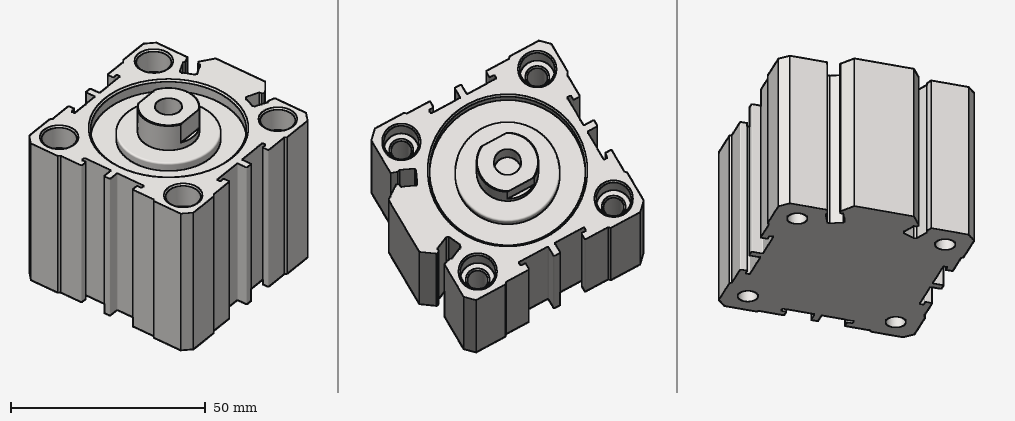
import cadquery as cq

half_width = 26.5
housing_height = 44.5
corner_chamfer = 2.35

relief_depth = 0.5
relief_half_length = 15.5

slot_mouth_half = 8.2
slot_undercut_half = 9.65
slot_floor = 22.95
slot_lip_inner = 24.05
tongue_half = 0.95
slot_rounding = 0.2

rail_top = 30.5
rail_groove_outline = [
    (8.05, rail_top),
    (10.6, 26.9),
    (10.65, 26.6),
    (10.3, 26.0),
    (9.5, 26.0),
    (8.0, 22.5),
    (8.2, 21.9),
    (11.4, 20.45),
    (12.1, 20.6),
    (13.7, 24.05),
    (13.45, 24.75),
    (14.1, half_width),
]

hole_offset = 20.0
hole_radius = 2.6
counterbore_radius = 4.5
counterbore_depth = 7.0
hole_chamfer = 0.45

recess_radius = 20.0
recess_depth = 3.5
recess_chamfer = 0.5
boss_radius = 13.45
boss_drop = 1.0
boss_rounding = 0.5

rod_radius = 8.0
rod_top = 51.5
rod_tip_chamfer = 0.2
flat_half_width = 6.95
flat_start = housing_height + 0.95
rod_hole_radius = 3.5
rod_hole_depth = 2 * rod_hole_radius

recess_floor = housing_height - recess_depth
boss_face = housing_height - boss_drop


def mirrored_x(points):
    """The outline carried on from +X to -X, so the order is reversed."""
    return [(-x, y) for x, y in reversed(points)]


def block():
    """Square extrusion with chamfered corners."""
    side = 2 * half_width
    return (
        cq.Workplane("XY")
        .rect(side, side)
        .extrude(housing_height)
        .edges("|Z")
        .chamfer(corner_chamfer)
    )


def side_recesses():
    """Relief and T-slot of the -Y side, with the tongue left standing in the middle."""
    relief_face = half_width - relief_depth
    relief_inner_half = relief_half_length - relief_depth
    half_outline = [
        (tongue_half, -relief_face),
        (tongue_half, -slot_floor),
        (slot_undercut_half, -slot_floor),
        (slot_undercut_half, -slot_lip_inner),
        (slot_mouth_half, -slot_lip_inner),
        (slot_mouth_half, -relief_face),
        (relief_inner_half, -relief_face),
        (relief_half_length, -half_width),
    ]
    outline = half_outline + mirrored_x(half_outline)
    cutter = cq.Workplane("XY").polyline(outline).close().extrude(housing_height)
    slot_region = cq.selectors.BoxSelector(
        (-slot_undercut_half - slot_rounding, -relief_face - slot_rounding, 0),
        (slot_undercut_half + slot_rounding, -slot_floor + slot_rounding, housing_height),
    )
    return cutter.edges("|Z").edges(slot_region).fillet(slot_rounding)


def rail_stock():
    """Block that stands out from the back, from which the rail is shaped."""
    back_corner = rail_groove_outline[-1][0]
    rail_root = min(y for _, y in rail_groove_outline)
    return (
        cq.Workplane("XY")
        .moveTo(-back_corner, rail_root)
        .lineTo(back_corner, rail_root)
        .lineTo(back_corner, rail_top)
        .lineTo(-back_corner, rail_top)
        .close()
        .extrude(housing_height)
    )


def rail_grooves():
    """Angled grooves that undercut both sides of the rail."""
    back_corner = rail_groove_outline[-1][0]
    outline = rail_groove_outline + [(back_corner, rail_top)]
    groove = cq.Workplane("XY").polyline(outline).close().extrude(housing_height)
    return groove.union(groove.mirror("YZ"))


def mounting_hole(x, y):
    """Through hole with a counterbore, both chamfered at their upper edge."""
    counterbore_floor = housing_height - counterbore_depth
    profile = [
        (0, 0),
        (hole_radius, 0),
        (hole_radius, counterbore_floor - hole_chamfer),
        (hole_radius + hole_chamfer, counterbore_floor),
        (counterbore_radius, counterbore_floor),
        (counterbore_radius, housing_height - hole_chamfer),
        (counterbore_radius + hole_chamfer, housing_height),
        (0, housing_height),
    ]
    cutter = cq.Workplane("XZ").polyline(profile).close().revolve(360, (0, 0), (0, 1))
    return cutter.translate((x, y, 0))


def front_recess():
    """Round recess with a chamfered rim, leaving the rounded rod boss standing."""
    profile = [
        (0, recess_floor),
        (recess_radius, recess_floor),
        (recess_radius, housing_height - recess_chamfer),
        (recess_radius + recess_chamfer, housing_height),
        (0, housing_height),
    ]
    recess = cq.Workplane("XZ").polyline(profile).close().revolve(360, (0, 0), (0, 1))
    boss = (
        cq.Workplane("XY", origin=(0, 0, recess_floor))
        .circle(boss_radius)
        .extrude(boss_face - recess_floor)
        .faces(">Z")
        .edges()
        .fillet(boss_rounding)
    )
    return recess.cut(boss)


def make_housing():
    """Extruded housing with slotted sides, back rail, corner holes and front recess."""
    body = block()
    for angle in (-90, 0, 90):
        body = body.cut(side_recesses().rotate((0, 0, 0), (0, 0, 1), angle))
    body = body.union(rail_stock()).cut(rail_grooves())
    for x in (-hole_offset, hole_offset):
        for y in (-hole_offset, hole_offset):
            body = body.cut(mounting_hole(x, y))
    return body.cut(front_recess())


def flat_cutter(side):
    """Block that cuts the wrench flat on the -X (side = -1) or +X (side = 1) flank."""
    flat_depth = rod_radius - flat_half_width
    cutter_width = 2 * flat_depth
    return (
        cq.Workplane("XY", origin=(side * (flat_half_width + cutter_width / 2), 0, flat_start))
        .rect(cutter_width, 2 * rod_radius)
        .extrude(rod_top - flat_start)
    )


def make_rod():
    """Rod end standing on the boss, with two wrench flats and a blind hole in the tip."""
    rod = (
        cq.Workplane("XY", origin=(0, 0, boss_face))
        .circle(rod_radius)
        .extrude(rod_top - boss_face)
        .faces(">Z")
        .chamfer(rod_tip_chamfer)
    )
    tip_hole = (
        cq.Workplane("XY", origin=(0, 0, rod_top - rod_hole_depth))
        .circle(rod_hole_radius)
        .extrude(rod_hole_depth)
    )
    rod = rod.cut(tip_hole)
    for side in (-1, 1):
        rod = rod.cut(flat_cutter(side))
    return rod


housing = make_housing().solids()
piston_rod = make_rod().solids()

result = cq.Compound.makeCompound([housing.val(), piston_rod.val()])